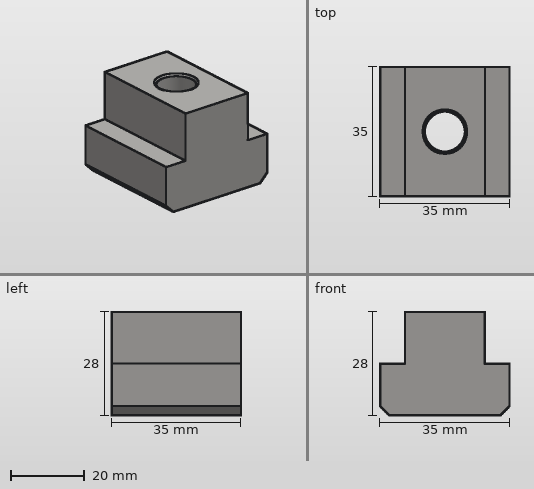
import cadquery as cq

length = 35.0
base_width = 35.0
total_height = 28.0

base_height = total_height / 2
stem_width = 21.6
bottom_chamfer = 2.5

hole_diameter = 10.8
mouth_diameter = 12.0
mouth_chamfer = (mouth_diameter - hole_diameter) / 2


def make_body():
    """T-slot nut body: a wide base and a narrower stem, both running along Y."""
    base = cq.Workplane("XY").box(base_width, length, base_height, centered=(True, True, False))
    base = base.faces("<Z").edges("|Y").chamfer(bottom_chamfer)
    stem = cq.Workplane("XY").box(stem_width, length, total_height, centered=(True, True, False))
    return base.union(stem)


def cut_hole(body):
    """Drill the hole through the center and chamfer its upper rim at 45 degrees."""
    drilled = body.faces(">Z").workplane(origin=(0, 0, total_height)).hole(hole_diameter)
    return drilled.faces(">Z").edges("%CIRCLE").chamfer(mouth_chamfer)


result = cut_hole(make_body())